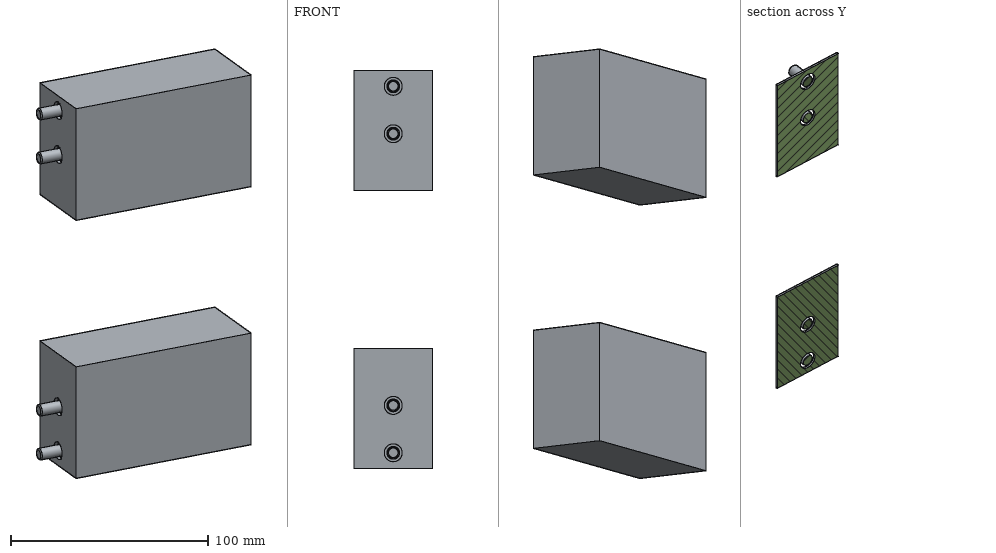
import cadquery as cq

total_height = 202.0
total_length = 111.0
block_width = 40.0
block_length = 100.0
block_height = 61.0

pin_diameter = 6.0
pin_projection = total_length - block_length
pin_chamfer = 0.6
pin_edge_offset = 8.0
pin_spacing = 24.0

bore_diameter = 6.5
bore_depth = 14.1
counterbore_diameter = 9.0
counterbore_depth = 2.0

block_center_height = (total_height - block_height) / 2
outer_pin_height = total_height / 2 - pin_edge_offset
inner_pin_height = outer_pin_height - pin_spacing
pin_heights = (outer_pin_height, inner_pin_height)


def cylinder_along_y(diameter, front, back, height):
    """Cylinder on the X = 0 plane at Z = height, running from Y = front to Y = back."""
    return (
        cq.Workplane("XZ", origin=(0, back, height))
        .circle(diameter / 2)
        .extrude(back - front)
    )


def pin_hole(height):
    """Counterbored blind hole that opens on the front face of a block."""
    bore = cylinder_along_y(bore_diameter, 0, bore_depth, height)
    counterbore = cylinder_along_y(counterbore_diameter, 0, counterbore_depth, height)
    return bore.union(counterbore)


def make_block(side):
    """Block with its pin holes; side is +1 for the upper block, -1 for the lower."""
    block = cq.Workplane("XY").box(block_width, block_length, block_height)
    block = block.translate((0, block_length / 2, side * block_center_height))
    for height in pin_heights:
        block = block.cut(pin_hole(side * height))
    return block


def make_pin(height):
    """Pin standing on the bottom of its bore, with a chamfered free end."""
    pin = cylinder_along_y(pin_diameter, -pin_projection, bore_depth, height)
    return pin.faces("<Y").chamfer(pin_chamfer)


blocks = []
pins = []
for side in (1, -1):
    blocks.append(make_block(side))
    for height in pin_heights:
        pins.append(make_pin(side * height))

result = cq.Compound.makeCompound([body.solids().val() for body in blocks + pins])